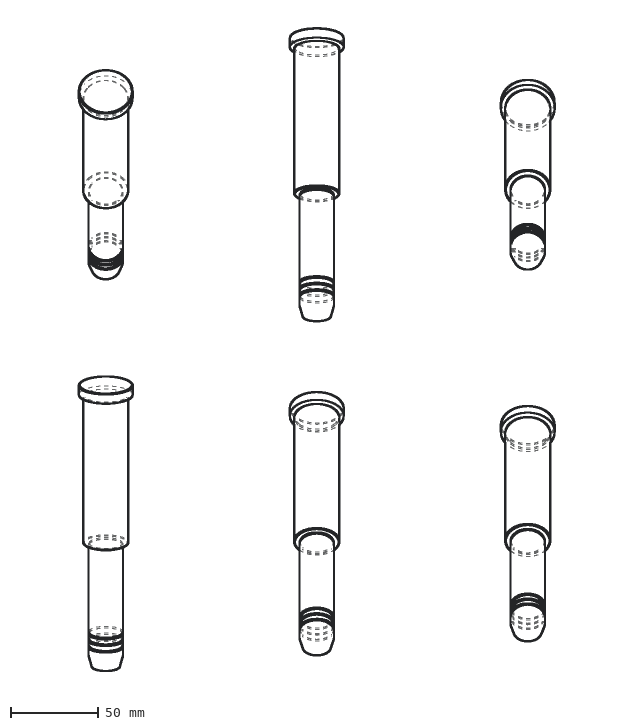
import cadquery as cq
import math

TOTAL_LENGTH = 171.0

HEAD_DIAMETER = 31.0
HEAD_HEIGHT = 6.0
HEAD_CHAMFER = 0.5

BODY_DIAMETER = 26.0
BODY_END_DEPTH = 96.0
BODY_CHAMFER = 0.5

PILOT_DIAMETER = 20.0

SQUARE_GROOVE_WIDTH = 1.0
SQUARE_GROOVE_RADIAL_DEPTH = 0.5

ROUND_GROOVE_WIDTH = 1.0
ROUND_GROOVE_RADIAL_DEPTH = 0.5
ROUND_GROOVE_FILLET = 0.49

RING_COUNT = 3
RING_FIRST_DEPTH = 150.0
RING_PITCH = 4.0

TAPER_LENGTH = 7.0
TAPER_ANGLE = 15.0
TIP_FILLET = 0.5

TIP_DIAMETER = PILOT_DIAMETER - 2 * TAPER_LENGTH * math.tan(math.radians(TAPER_ANGLE))


def level(depth):
    """Height above the tip of a point at the given depth below the head top."""
    return TOTAL_LENGTH - depth


def cylinder(diameter, bottom, top):
    """Cylinder on the Z axis between two heights."""
    return cq.Workplane("XY").workplane(offset=bottom).circle(diameter / 2).extrude(top - bottom)


def make_head():
    """Flange at the top, with a chamfered upper rim."""
    head = cylinder(HEAD_DIAMETER, level(HEAD_HEIGHT), TOTAL_LENGTH)
    return head.faces(">Z").chamfer(HEAD_CHAMFER)


def make_body():
    """Large shank below the head, with a chamfered lower rim."""
    body = cylinder(BODY_DIAMETER, level(BODY_END_DEPTH), level(HEAD_HEIGHT))
    return body.faces("<Z").chamfer(BODY_CHAMFER)


def make_pilot():
    """Thin shank below the body, ending in a tapered lead-in with a rounded rim."""
    pilot = cylinder(PILOT_DIAMETER, TAPER_LENGTH, level(BODY_END_DEPTH))
    lead_in = (
        cq.Workplane("XY")
        .circle(TIP_DIAMETER / 2)
        .workplane(offset=TAPER_LENGTH)
        .circle(PILOT_DIAMETER / 2)
        .loft(ruled=True)
    )
    return pilot.union(lead_in).faces("<Z").fillet(TIP_FILLET)


def square_groove(shank_diameter, start_depth):
    """Square-bottomed ring to remove around a shank, downwards from start_depth."""
    floor_diameter = shank_diameter - 2 * SQUARE_GROOVE_RADIAL_DEPTH
    bottom = level(start_depth + SQUARE_GROOVE_WIDTH)
    top = level(start_depth)
    return cylinder(shank_diameter, bottom, top).cut(cylinder(floor_diameter, bottom, top))


def round_groove(shank_diameter, start_depth):
    """Ring with a filleted floor to remove around a shank, downwards from start_depth."""
    surface = shank_diameter / 2
    floor = surface - ROUND_GROOVE_RADIAL_DEPTH
    wall_end = floor + ROUND_GROOVE_FILLET
    top = level(start_depth)
    bottom = top - ROUND_GROOVE_WIDTH

    arc_inset = ROUND_GROOVE_FILLET * (1 - math.sqrt(0.5))
    return (
        cq.Workplane("XZ")
        .moveTo(surface, top)
        .lineTo(wall_end, top)
        .threePointArc((floor + arc_inset, top - arc_inset), (floor, top - ROUND_GROOVE_FILLET))
        .lineTo(floor, bottom + ROUND_GROOVE_FILLET)
        .threePointArc((floor + arc_inset, bottom + arc_inset), (wall_end, bottom))
        .lineTo(surface, bottom)
        .close()
        .revolve(360, (0, 0, 0), (0, 1, 0))
    )


pin = make_head().union(make_body()).union(make_pilot())

pin = pin.cut(round_groove(BODY_DIAMETER, HEAD_HEIGHT))
pin = pin.cut(square_groove(PILOT_DIAMETER, BODY_END_DEPTH))

for ring in range(RING_COUNT):
    pin = pin.cut(round_groove(PILOT_DIAMETER, RING_FIRST_DEPTH + ring * RING_PITCH))

result = pin